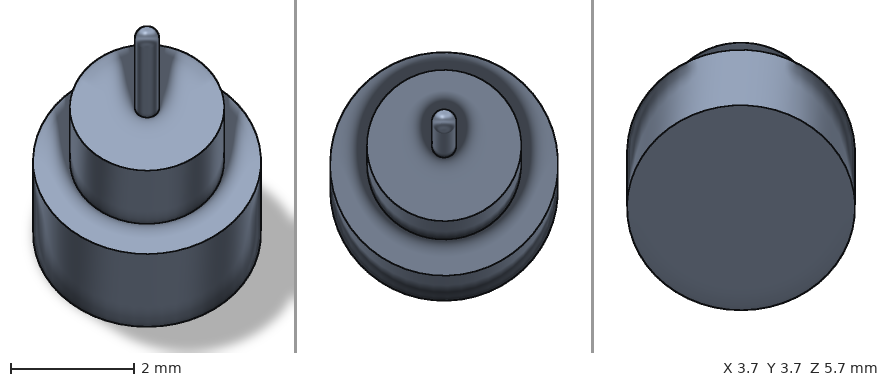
import cadquery as cq

total_height = 5.7
base_diameter = 3.7
base_height = 2.05
collar_diameter = 2.5
collar_height = 1.5
insert_diameter = 1.95
pin_diameter = 0.4

base_radius = base_diameter / 2
collar_radius = collar_diameter / 2
insert_radius = insert_diameter / 2
pin_radius = pin_diameter / 2
collar_top = base_height + collar_height
dome_start = total_height - pin_radius
dome_mid_offset = pin_radius * 0.5 ** 0.5

half_profile = (
    cq.Workplane("XZ")
    .moveTo(0, 0)
    .lineTo(-base_radius, 0)
    .lineTo(-base_radius, base_height)
    .lineTo(-collar_radius, base_height)
    .lineTo(-collar_radius, collar_top)
    .lineTo(-insert_radius, collar_top)
    .lineTo(-pin_radius, collar_top)
    .lineTo(-pin_radius, dome_start)
    .threePointArc((-dome_mid_offset, dome_start + dome_mid_offset), (0, total_height))
    .close()
)

result = half_profile.revolve(360, (0, 0, 0), (0, 1, 0), clean=False)